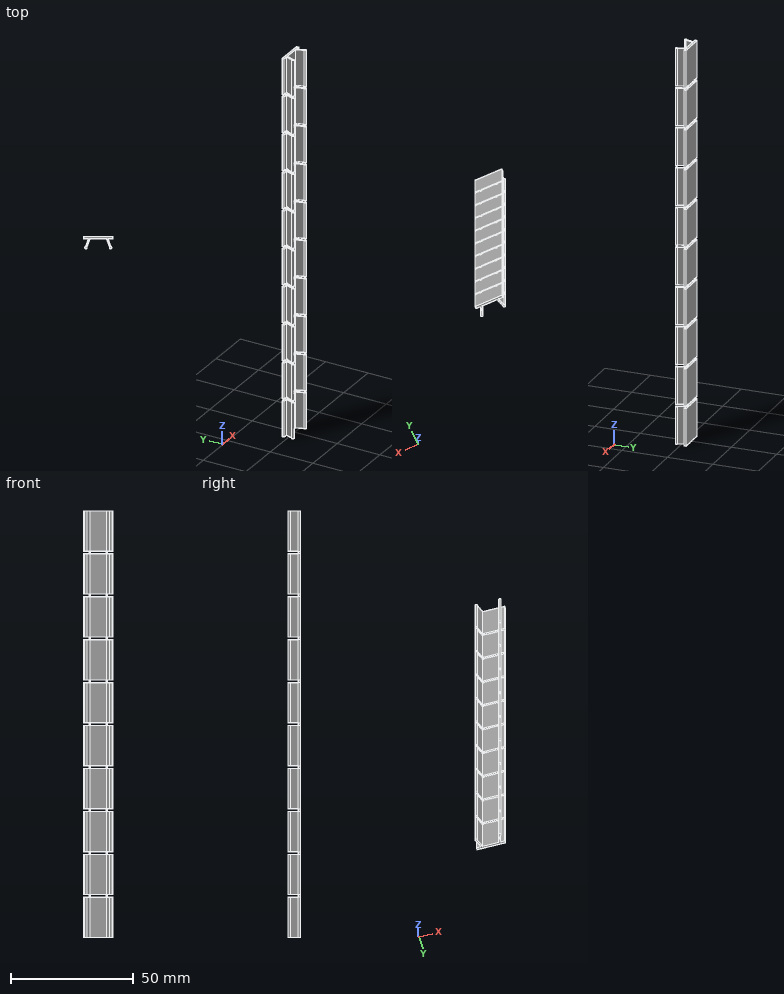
import cadquery as cq
import math

strip_width = 12.0
strip_depth = 5.1
strip_length = 174.0

segment_count = 10
segment_gap = 1.0
segment_length = (strip_length - (segment_count - 1) * segment_gap) / segment_count
segment_pitch = segment_length + segment_gap

plate_thickness = 1.0
plate_back_y = strip_depth / 2
plate_front_y = plate_back_y - plate_thickness
plate_middle_y = (plate_back_y + plate_front_y) / 2

leg_thickness = 0.65
leg_splay = math.radians(20.0)
leg_root_offset = 3.7
bead_radius = 0.52
bead_y = -strip_depth / 2 + bead_radius

bridge_width = 0.5
bridge_offset = 3.45


def make_block(x_center, width, z_start, length):
    """Block as thick as the plate, rising from z_start."""
    return (
        cq.Workplane("XY", origin=(x_center, plate_middle_y, z_start))
        .rect(width, plate_thickness)
        .extrude(length)
    )


def leg_center_x(y):
    """Distance of the leg centre line from the middle of the strip at depth y."""
    return leg_root_offset + (plate_front_y - y) * math.tan(leg_splay)


def make_leg(side, z_start):
    """Slanted leg ending in a round bead; side is -1 for left and +1 for right."""
    root_x = leg_center_x(plate_middle_y)
    bead_x = leg_center_x(bead_y)
    across_x = leg_thickness / 2 * math.cos(leg_splay)
    across_y = leg_thickness / 2 * math.sin(leg_splay)
    web = (
        cq.Workplane("XY", origin=(0, 0, z_start))
        .moveTo(side * (root_x + across_x), plate_middle_y + across_y)
        .lineTo(side * (bead_x + across_x), bead_y + across_y)
        .lineTo(side * (bead_x - across_x), bead_y - across_y)
        .lineTo(side * (root_x - across_x), plate_middle_y - across_y)
        .close()
        .extrude(segment_length)
    )
    bead = (
        cq.Workplane("XY", origin=(side * bead_x, bead_y, z_start))
        .circle(bead_radius)
        .extrude(segment_length)
    )
    return web.union(bead)


def make_segment(z_start):
    """One clip segment: the plate with a leg on each side."""
    segment = make_block(0, strip_width, z_start, segment_length)
    for side in (-1, 1):
        segment = segment.union(make_leg(side, z_start))
    return segment


def make_strip():
    """All segments, joined by a pair of bridges across each gap."""
    strip = make_segment(0)
    for index in range(1, segment_count):
        z_start = index * segment_pitch
        strip = strip.union(make_segment(z_start))
        for side in (-1, 1):
            bridge = make_block(side * bridge_offset, bridge_width, z_start - segment_gap, segment_gap)
            strip = strip.union(bridge)
    return strip


result = make_strip()